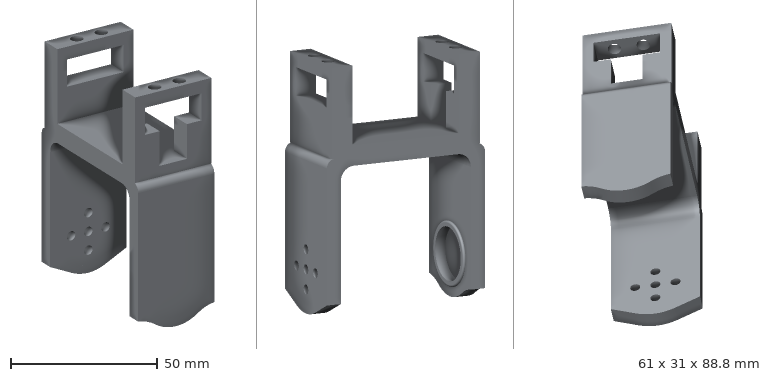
import cadquery as cq
import math

width = 61.0
depth = 31.0
height = 88.75

bracket_width = 57.15
bracket_height = 31.95
base_thickness = 4.1
post_thickness = 8.0
window_width = 23.1
window_height = 10.1
top_bar_height = 4.8
slot_width = 11.1
screw_hole_diameter = 4.6
screw_hole_pitch = 10.0

plate_thickness = 3.1
leg_thickness = 5.4
outer_corner_radius = 3.0
inner_corner_radius = 5.0
axis_height = 15.4
leg_corner_height = 5.8
disc_leg_tip_radius = axis_height
ring_leg_tip_radius = 15.0
ring_leg_blend_radius = ring_leg_tip_radius

ring_diameter = 23.0
ring_height = 0.8
ring_edge_radius = 0.7
pocket_diameter = 19.0
pocket_depth = 3.9

disc_diameter = 25.0
disc_hole_diameter = 3.5
disc_hole_offset = 7.0

fork_height = height - bracket_height
fork_bottom_of_plate = fork_height - plate_thickness
base_top = fork_height + base_thickness
window_bottom = height - top_bar_height - window_height
post_center = (bracket_width - post_thickness) / 2
leg_inner_x = width / 2 - leg_thickness


def box(x_size, y_size, z_low, z_high, x_center=0.0):
    """Block centred on Y, spanning z_low to z_high."""
    return (
        cq.Workplane("XY", origin=(x_center, 0, z_low))
        .rect(x_size, y_size)
        .extrude(z_high - z_low)
    )


def cylinder_along_x(diameter, x_start, length, y=0.0, z=axis_height):
    """Cylinder parallel to X, extruded toward +X."""
    return cq.Workplane("YZ", origin=(x_start, y, z)).circle(diameter / 2).extrude(length)


def make_bracket():
    bracket = box(bracket_width, depth, fork_height, height)
    inner_width = bracket_width - 2 * post_thickness
    bracket = bracket.cut(box(inner_width, depth, base_top, height))
    bracket = bracket.cut(box(bracket_width, window_width, window_bottom, window_bottom + window_height))
    bracket = bracket.cut(box(post_thickness, slot_width, base_top, window_bottom, post_center))
    screw_holes = (
        cq.Workplane("XY", origin=(0, 0, height))
        .rarray(2 * post_center, screw_hole_pitch, 2, 2)
        .circle(screw_hole_diameter / 2)
        .extrude(-top_bar_height)
    )
    return bracket.cut(screw_holes)


def leg_outline(x_start, tip_radius, join_y, join_z, blend_point=None):
    """Leg with a round tip about the disc axis.

    Each lower corner joins the tip by a straight taper, or by an arc through blend_point if given.
    """
    half = depth / 2
    outline = (
        cq.Workplane("YZ", origin=(x_start, 0, 0))
        .moveTo(-half, fork_height)
        .lineTo(-half, leg_corner_height)
    )
    tip = (0, axis_height - tip_radius)
    if blend_point is None:
        outline = (
            outline.lineTo(-join_y, join_z)
            .threePointArc(tip, (join_y, join_z))
            .lineTo(half, leg_corner_height)
        )
    else:
        blend_y, blend_z = blend_point
        outline = (
            outline.threePointArc((-blend_y, blend_z), (-join_y, join_z))
            .threePointArc(tip, (join_y, join_z))
            .threePointArc(blend_point, (half, leg_corner_height))
        )
    return outline.lineTo(half, fork_height).close().extrude(leg_thickness)


def make_disc_leg():
    drop = axis_height - leg_corner_height
    corner_distance = math.hypot(depth / 2, drop)
    corner_angle = math.atan2(depth / 2, drop)
    join_angle = corner_angle - math.acos(disc_leg_tip_radius / corner_distance)
    join_y = disc_leg_tip_radius * math.sin(join_angle)
    join_z = axis_height - disc_leg_tip_radius * math.cos(join_angle)
    return leg_outline(-width / 2, disc_leg_tip_radius, join_y, join_z)


def make_ring_leg():
    drop = axis_height - leg_corner_height
    corner_distance = math.hypot(depth / 2, drop)
    corner_angle = math.atan2(depth / 2, drop)
    center_distance = ring_leg_tip_radius + ring_leg_blend_radius
    cosine = (center_distance**2 + corner_distance**2 - ring_leg_blend_radius**2) / (
        2 * center_distance * corner_distance
    )
    join_angle = corner_angle - math.acos(cosine)
    join_y = ring_leg_tip_radius * math.sin(join_angle)
    join_z = axis_height - ring_leg_tip_radius * math.cos(join_angle)
    blend_center_y = center_distance * math.sin(join_angle)
    blend_center_z = axis_height - center_distance * math.cos(join_angle)
    chord_y = (depth / 2 + join_y) / 2 - blend_center_y
    chord_z = (leg_corner_height + join_z) / 2 - blend_center_z
    reach = ring_leg_blend_radius / math.hypot(chord_y, chord_z)
    blend_point = (blend_center_y + reach * chord_y, blend_center_z + reach * chord_z)
    return leg_outline(leg_inner_x, ring_leg_tip_radius, join_y, join_z, blend_point)


def make_fork():
    arch = box(width, depth, 0, fork_height).edges("|Y and >Z").fillet(outer_corner_radius)
    opening = box(2 * leg_inner_x, depth, 0, fork_bottom_of_plate)
    arch = arch.cut(opening.edges("|Y and >Z").fillet(inner_corner_radius))
    middle = box(2 * leg_inner_x, depth, 0, fork_height)
    fork = arch.intersect(middle.union(make_disc_leg()).union(make_ring_leg()))
    ring = cylinder_along_x(ring_diameter, leg_inner_x - ring_height, ring_height)
    fork = fork.union(ring.edges("<X").fillet(ring_edge_radius))
    fork = fork.cut(cylinder_along_x(pocket_diameter, leg_inner_x - ring_height, pocket_depth))
    return fork.cut(cylinder_along_x(disc_diameter, -width / 2, leg_thickness))


def make_disc():
    disc = cylinder_along_x(disc_diameter, -width / 2, leg_thickness)
    offset = disc_hole_offset
    for y, z in [(0, 0), (offset, 0), (-offset, 0), (0, offset), (0, -offset)]:
        disc = disc.cut(cylinder_along_x(disc_hole_diameter, -width / 2, leg_thickness, y, axis_height + z))
    return disc


bracket = make_bracket()
fork = make_fork()
disc = make_disc()

result = cq.Compound.makeCompound([bracket.solids().val(), fork.solids().val(), disc.solids().val()])